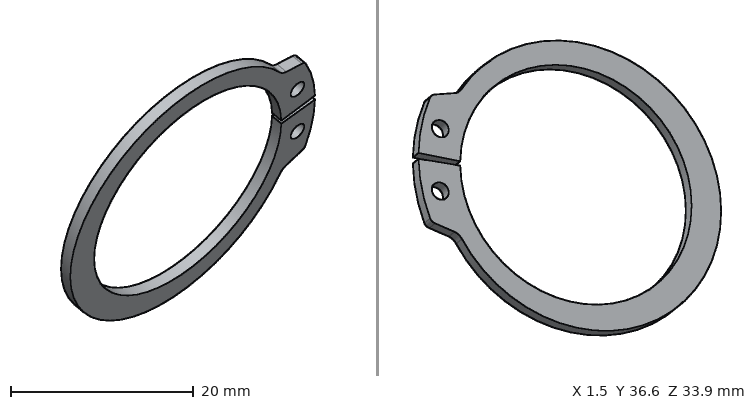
import cadquery as cq
import math

thickness = 1.5
bore_radius = 13.98
rim_radius = 16.95
rim_offset = 0.62

lug_tip_radius = 19.05
lug_root_y = 10.98
lug_root_half_width = 9.15
shoulder_angle = 14.0
tip_corner_radius = 0.85
root_fillet_radius = 1.5

hole_diameter = 2.0
hole_y = 16.4
hole_z = 3.7

gap_half_width_at_bore = 0.25
gap_end_y = lug_tip_radius + 0.35

shoulder_slope = math.tan(math.radians(shoulder_angle))


def shoulder_circle_crossing(radius, center_y):
    """Return (y, z) where the upper shoulder line leaves a circle centred on the Y axis."""
    z_at_center = lug_root_half_width - shoulder_slope * (center_y - lug_root_y)
    a = 1 + shoulder_slope**2
    b = shoulder_slope * z_at_center
    c = z_at_center**2 - radius**2
    distance = (b + math.sqrt(b**2 - a * c)) / a
    return center_y + distance, z_at_center - shoulder_slope * distance


def plate():
    return cq.Workplane("YZ").workplane(offset=-thickness / 2)


def make_rim():
    return plate().center(-rim_offset, 0).circle(rim_radius).extrude(thickness)


def make_lug_block():
    tip_y, tip_z = shoulder_circle_crossing(lug_tip_radius, 0)
    block = (
        plate()
        .moveTo(lug_root_y, -lug_root_half_width)
        .lineTo(tip_y, -tip_z)
        .threePointArc((lug_tip_radius, 0), (tip_y, tip_z))
        .lineTo(lug_root_y, lug_root_half_width)
        .close()
        .extrude(thickness)
    )
    return block.edges("|X").edges(">Y").fillet(tip_corner_radius)


def fillet_lug_roots(body):
    root_y, root_z = shoulder_circle_crossing(rim_radius, -rim_offset)
    for z in (-root_z, root_z):
        root_edge = cq.selectors.NearestToPointSelector((0, root_y, z))
        body = body.edges("|X").edges(root_edge).fillet(root_fillet_radius)
    return body


def make_gap():
    """Wedge whose faces run radially from the bore centre."""
    end_half_width = gap_half_width_at_bore * gap_end_y / bore_radius
    return (
        plate()
        .polyline([(0, 0), (gap_end_y, -end_half_width), (gap_end_y, end_half_width)])
        .close()
        .extrude(thickness)
    )


bore = plate().circle(bore_radius).extrude(thickness)
plier_holes = (
    plate()
    .pushPoints([(hole_y, -hole_z), (hole_y, hole_z)])
    .circle(hole_diameter / 2)
    .extrude(thickness)
)

body = fillet_lug_roots(make_rim().union(make_lug_block()))
result = body.cut(bore).cut(plier_holes).cut(make_gap())